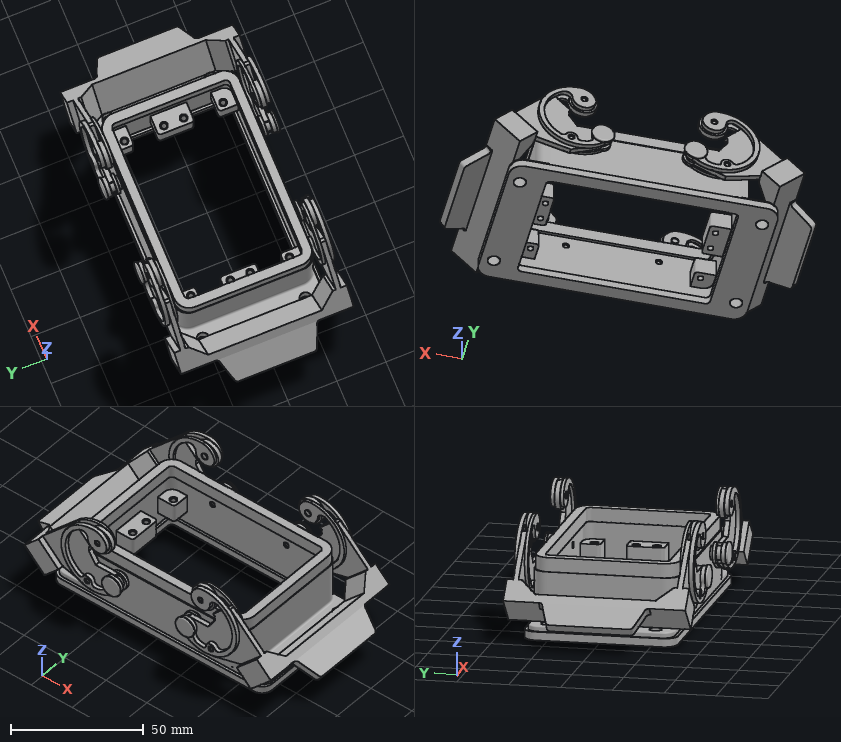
import cadquery as cq
import math

flange_length = 104.1
flange_width = 59.0
flange_height = 3.3
flange_corner = 5.1
ledge_length = 102.5
ledge_corner = 4.5
ledge_height = 2.2
ledge_edge_round = 0.7
mount_hole_x = 47.0
mount_hole_y = 20.9
mount_hole_diameter = 4.7

frame_length = 82.7
frame_width = 56.5
frame_corner = 6.0
upper_length = 82.4
upper_width = 55.7
upper_corner = 6.1
step_height = 24.1
frame_height = 29.6
foot_round = 1.0

opening_length = 74.5
opening_width = 47.9
opening_corner = 1.8
undercut = 1.1
hollow_corner = 3.9

boss_reach = 7.0
boss_bottom = 9.3
boss_top = 17.2
boss_corner = 1.2
corner_boss_inner_y = 17.3
middle_boss_width = 14.7
boss_hole_x = 33.0
boss_hole_ys = (-20.1, -4.0, 4.0, 20.1)
boss_hole_diameter = 2.2
boss_hole_mouth_diameter = 3.0

cheek_outer_y = 34.5
plate_outer_y = 32.7
plate_inner_y = 30.6
cheek_inner_y = 29.4
rivet_inner_y = 29.0

hook_x = -27.3
hook_z = 27.4
hook_radius = 15.5
hook_inner_radius = 13.5
curl_x = -25.2
curl_z = 37.1
curl_radius = 4.6
roller_radius = 5.5
throat_round = 2.6
rivet_x = -30.2
rivet_z = 15.2
rivet_radius = 1.4
rivet_inner_radius = 0.8
rivet_recess = 0.4
rivet_recess_radius = 1.2
rivet_eye_radius = 2.4
rivet_eye_round = 1.5

peg_x = -18.0
peg_z = 19.7
peg_eye_radius = 4.0
peg_eye_round = 3.0
peg_head_radius = 4.5
peg_pin_radius = 2.8
overall_width = 71.0
peg_end_y = overall_width / 2
peg_head_round = 0.5

slope = math.sqrt(0.5)
bar_corner_x = -53.3
bar_corner_z = 23.7
bar_depth = 9.7
bar_height = 13.8
bar_half_width = 35.2
relief_depth = 6.1
relief_top_half_width = 29.4
relief_bottom_half_width = 23.1

plate_length = 22.2
plate_shoulder = 21.2
plate_overlap = 2.8
plate_end_width = 11.0
notch_x = -30.7
notch_top_z = 30.7
notch_bottom_z = 29.0
saddle_x = -27.4
saddle_z = 23.7
heel_x = -30.0
heel_z = 10.2
heel_end_x = -25.9
heel_end_z = 11.9

tab_angle = 34
tab_thickness = 3.5
tab_length = 11.0
tab_overlap = 2.8
tab_root_half_width = 19.7
tab_tip_half_width = 16.5
tab_corner = 1.7
tab_root_round = 1.7

base_top = flange_height + ledge_height


def rounded_block(length, width, bottom, top, corner):
    block = cq.Workplane("XY", origin=(0, 0, bottom)).rect(length, width).extrude(top - bottom)
    return block.edges("|Z").fillet(corner)


def y_cylinder(x, z, radius, y_inner, y_outer):
    """Cylinder along Y on the -Y side, between two distances from the middle plane."""
    return cq.Workplane("XZ", origin=(x, -y_inner, z)).circle(radius).extrude(y_outer - y_inner)


def dimple(x, z, y_mouth):
    """Tapered dimple open toward -Y, its mouth at a distance to the -Y side of the middle plane."""
    return (
        cq.Workplane("XZ", origin=(x, -y_mouth, z))
        .circle(rivet_recess_radius)
        .workplane(offset=-rivet_recess)
        .circle(rivet_inner_radius)
        .loft()
    )


def on_slope(along, across):
    """Point at a distance down the lever arm and across it, from the bar's top corner."""
    return (bar_corner_x + (across - along) * slope, bar_corner_z - (across + along) * slope)


def make_frame():
    flange = rounded_block(flange_length, flange_width, 0, flange_height, flange_corner)
    ledge = rounded_block(ledge_length, frame_width, flange_height, base_top, ledge_corner)
    ledge = ledge.faces(">Z").edges().fillet(ledge_edge_round)
    lower = rounded_block(frame_length, frame_width, 0, step_height, frame_corner)
    upper = rounded_block(upper_length, upper_width, step_height, frame_height, upper_corner)
    frame = flange.union(ledge).union(lower).union(upper)
    for side in (-1, 1):
        foot_edge = cq.NearestToPointSelector((side * frame_length / 2, 0, base_top))
        frame = frame.edges(foot_edge).fillet(foot_round)

    opening = rounded_block(opening_length, opening_width, 0, frame_height, opening_corner)
    hollow = rounded_block(
        opening_length + 2 * undercut,
        opening_width + 2 * undercut,
        flange_height,
        step_height,
        hollow_corner,
    )
    mount_points = [(sx * mount_hole_x, sy * mount_hole_y) for sx in (-1, 1) for sy in (-1, 1)]
    holes = cq.Workplane("XY").pushPoints(mount_points).circle(mount_hole_diameter / 2).extrude(base_top)
    return frame.cut(opening).cut(hollow).cut(holes)


def make_boss(side, y_low, y_high):
    """Boss reaching inward from an end wall, rounded on its free corners."""
    inner_x = opening_length / 2 - boss_reach
    length = boss_reach + 2 * undercut
    boss = cq.Workplane("XY").box(length, y_high - y_low, boss_top - boss_bottom, centered=False)
    boss = boss.edges("|Z and <X").fillet(boss_corner)
    boss = boss.translate((inner_x, y_low, boss_bottom))
    return boss if side > 0 else boss.mirror("YZ")


def add_bosses(frame):
    wall_y = opening_width / 2 + 2 * undercut
    spans = (
        (-wall_y, -corner_boss_inner_y),
        (-middle_boss_width / 2, middle_boss_width / 2),
        (corner_boss_inner_y, wall_y),
    )
    mouth_depth = (boss_hole_mouth_diameter - boss_hole_diameter) / 2
    for side in (-1, 1):
        for y_low, y_high in spans:
            frame = frame.union(make_boss(side, y_low, y_high))
        for y in boss_hole_ys:
            hole = (
                cq.Workplane("XY", origin=(side * boss_hole_x, y, boss_bottom))
                .circle(boss_hole_diameter / 2)
                .extrude(boss_top - boss_bottom)
            )
            mouth = (
                cq.Workplane("XY", origin=(side * boss_hole_x, y, boss_top - mouth_depth))
                .circle(boss_hole_diameter / 2)
                .workplane(offset=mouth_depth)
                .circle(boss_hole_mouth_diameter / 2)
                .loft()
            )
            frame = frame.cut(hole).cut(mouth)
    return frame


def make_cheek(y_inner, y_outer):
    """Hook-shaped cheek: a band round the hook centre, a curl at the top, eyes for rivet and peg."""
    thickness = y_outer - y_inner
    sheet = cq.Workplane("XZ", origin=(0, -y_inner, 0))
    end_angle = math.atan2(peg_z - hook_z, peg_x - hook_x)
    curl_end_x = curl_x + curl_radius
    end_cos = math.cos(end_angle)
    end_sin = math.sin(end_angle)
    band = (
        sheet.moveTo(hook_x, hook_z + hook_radius)
        .threePointArc(
            (hook_x - hook_radius, hook_z),
            (hook_x + hook_radius * end_cos, hook_z + hook_radius * end_sin),
        )
        .lineTo(hook_x + hook_inner_radius * end_cos, hook_z + hook_inner_radius * end_sin)
        .threePointArc((hook_x - hook_inner_radius, hook_z), (hook_x, hook_z + hook_inner_radius))
        .close()
        .extrude(thickness)
    )
    shoulder = (
        sheet.moveTo(hook_x, hook_z + hook_inner_radius)
        .lineTo(hook_x, hook_z + hook_radius)
        .threePointArc(
            (hook_x + slope * (curl_end_x - hook_x), curl_z + slope * (hook_z + hook_radius - curl_z)),
            (curl_end_x, curl_z),
        )
        .lineTo(curl_x, curl_z)
        .close()
        .extrude(thickness)
    )
    curl = y_cylinder(curl_x, curl_z, curl_radius, y_inner, y_outer)
    rivet_eye = y_cylinder(rivet_x, rivet_z, rivet_eye_radius, y_inner, y_outer)
    peg_eye = y_cylinder(peg_x, peg_z, peg_eye_radius, y_inner, y_outer)
    cheek = band.union(shoulder).union(curl).union(rivet_eye).union(peg_eye)
    corners = (
        (curl_x - curl_radius, hook_z + hook_inner_radius, throat_round),
        (rivet_x - rivet_eye_radius, rivet_z + rivet_radius, rivet_eye_round),
        (rivet_x + rivet_eye_radius, rivet_z, rivet_eye_round),
        (peg_x - peg_eye_radius, peg_z - peg_pin_radius, peg_eye_round),
    )
    for x, z, radius in corners:
        corner = cq.NearestToPointSelector((x, -(y_inner + y_outer) / 2, z))
        cheek = cheek.edges("|Y").edges(corner).fillet(radius)
    return cheek


def make_plate():
    """Flat side plate of the lever, held between its two cheeks."""
    outline = [
        (bar_corner_x, bar_corner_z),
        on_slope(-plate_shoulder, 0),
        on_slope(-plate_length, plate_length - plate_shoulder),
        on_slope(-plate_length, plate_end_width),
        (notch_x, notch_top_z),
        (notch_x, notch_bottom_z),
        (saddle_x, saddle_z),
        (peg_x, saddle_z),
        (peg_x, peg_z - peg_eye_radius),
        (heel_end_x, heel_end_z),
        (heel_x, heel_z),
        on_slope(0, bar_height),
        on_slope(plate_overlap, bar_height),
        on_slope(plate_overlap, 0),
    ]
    sheet = cq.Workplane("XZ", origin=(0, -plate_inner_y, 0))
    return sheet.polyline(outline).close().extrude(plate_outer_y - plate_inner_y)


def make_peg():
    head = y_cylinder(peg_x, peg_z, peg_head_radius, cheek_outer_y, peg_end_y)
    head = head.faces("<Y").edges().fillet(peg_head_round)
    pin = y_cylinder(peg_x, peg_z, peg_pin_radius, frame_width / 2 - undercut, cheek_outer_y)
    return head.union(pin)


def make_lever_side():
    side = make_plate()
    side = side.union(make_cheek(plate_outer_y, cheek_outer_y))
    side = side.union(make_cheek(cheek_inner_y, plate_inner_y))
    side = side.union(y_cylinder(curl_x, curl_z, roller_radius, plate_inner_y, plate_outer_y))
    side = side.union(make_peg())
    for x, z in ((curl_x, curl_z), (rivet_x, rivet_z)):
        side = side.union(y_cylinder(x, z, rivet_radius, rivet_inner_y, plate_outer_y))
        side = side.cut(dimple(x, z, cheek_outer_y))
    return side


def make_crossbar():
    section = cq.Plane(origin=(bar_corner_x, 0, bar_corner_z), xDir=(0, 1, 0), normal=(1, 0, -1))
    outline = [
        (-bar_half_width, 0),
        (-relief_top_half_width, 0),
        (-relief_bottom_half_width, -relief_depth),
        (relief_bottom_half_width, -relief_depth),
        (relief_top_half_width, 0),
        (bar_half_width, 0),
        (bar_half_width, -bar_depth),
        (-bar_half_width, -bar_depth),
    ]
    return cq.Workplane(section).polyline(outline).close().extrude(bar_height)


def make_tab():
    root_x, root_z = on_slope(bar_depth, 0)
    cosine = math.cos(math.radians(tab_angle))
    sine = math.sin(math.radians(tab_angle))
    face = cq.Plane(origin=(root_x, 0, root_z), xDir=(-cosine, 0, -sine), normal=(sine, 0, -cosine))
    flare = tab_root_round * (1 - slope)
    flare_half_width = tab_root_half_width + tab_root_round
    tab = (
        cq.Workplane(face)
        .moveTo(-tab_overlap, -flare_half_width)
        .lineTo(0, -flare_half_width)
        .threePointArc((flare, -tab_root_half_width - flare), (tab_root_round, -tab_root_half_width))
        .lineTo(tab_length, -tab_tip_half_width)
        .lineTo(tab_length, tab_tip_half_width)
        .lineTo(tab_root_round, tab_root_half_width)
        .threePointArc((flare, tab_root_half_width + flare), (0, flare_half_width))
        .lineTo(-tab_overlap, flare_half_width)
        .close()
        .extrude(tab_thickness)
    )
    return tab.faces("<X").edges("not |Y").fillet(tab_corner)


def make_lever():
    side = make_lever_side()
    return make_crossbar().union(make_tab()).union(side).union(side.mirror("XZ"))


def add_peg_dimples(frame):
    """Dimples in the long inner walls of the frame, opposite the pegs."""
    wall_y = opening_width / 2 + undercut
    dimple_at_left = dimple(peg_x, peg_z, -wall_y)
    dimples = dimple_at_left.union(dimple_at_left.mirror("YZ"))
    return frame.cut(dimples).cut(dimples.mirror("XZ"))


frame = add_peg_dimples(add_bosses(make_frame()))
lever = make_lever()
result = frame.union(lever).union(lever.mirror("YZ"))